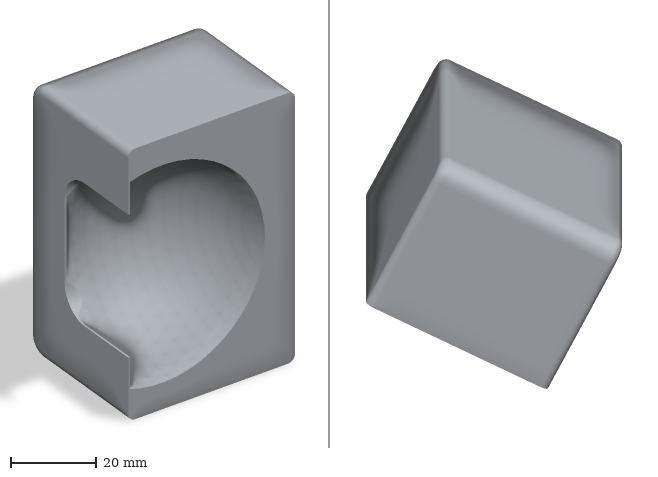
import cadquery as cq

length_x = 40.0
depth_y = 48.0
height_z = 74.0
corner_radius = 5.0
edge_radius = 2.0

sphere_radius = 29.75
sphere_center_depth = 9.6
front_wall = 0.5

window_reach = 25.8
window_height = 39.1
window_corner_radius = 8.15

front_y = -depth_y / 2
open_x = length_x / 2
sphere_center_y = front_y + sphere_center_depth


def make_block():
    """Block with large vertical-profile rounds and smaller rounds on its front and back rims."""
    block = cq.Workplane("XY").box(length_x, depth_y, height_z)
    block = block.edges("|Y and <X").fillet(corner_radius)
    rims = block.faces("<Y or >Y").edges("not >X")
    return rims.fillet(edge_radius)


def make_cavity():
    """Sphere trimmed flat behind the thin front wall."""
    sphere = cq.Workplane("XZ").sphere(sphere_radius).translate((open_x, sphere_center_y, 0))
    span = 2 * sphere_radius
    room = (
        cq.Workplane("XY")
        .box(span, depth_y, span, centered=(True, False, True))
        .translate((open_x, front_y + front_wall, 0))
    )
    return sphere.intersect(room)


def make_window():
    """Rounded opening from the front face into the widest part of the sphere."""
    return (
        cq.Workplane("XY")
        .box(2 * window_reach, sphere_center_depth, window_height, centered=(True, False, True))
        .edges("|Y")
        .fillet(window_corner_radius)
        .translate((open_x, front_y, 0))
    )


result = make_block().cut(make_cavity()).cut(make_window())